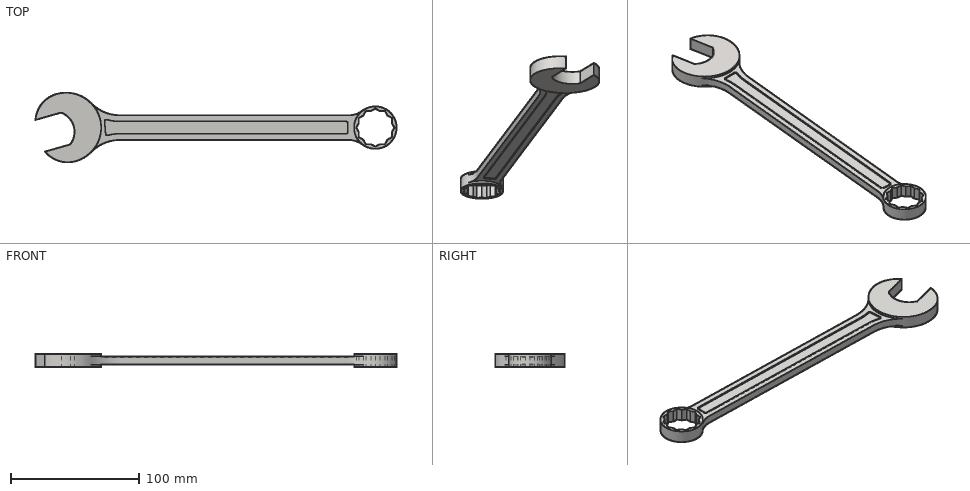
import cadquery as cq
import math

overall_length = 281.5
nut_width = 25.5
head_thickness = 10.0
ring_radius = 16.5

jaw_radius = 27.3
flank_offset = 4.5
jaw_angle = 16.0
slot_shift = -0.5
slot_wall_end = -0.5
slot_floor = 6.0

handle_thickness = 6.5
handle_width = 19.5
jaw_blend_radius = 31.0
ring_blend_radius = 18.3

pocket_width = 9.5
pocket_depth = 0.8
pocket_ring_x = -21.5
pocket_jaw_x = -210.5
pocket_end_slant = 0.5
pocket_corner_radius = 1.5

handle_half_width = handle_width / 2
pocket_margin = (handle_width - pocket_width) / 2


def centred_plate(outline, thickness):
    """Extrude a closed outline evenly to both sides of the mid-plane."""
    return outline.extrude(thickness / 2, both=True)


def blend_centre_offset(head_radius, blend_radius):
    """X distance from a round head to the arc touching both it and the handle edge."""
    return math.sqrt((head_radius + blend_radius) ** 2 - (handle_half_width + blend_radius) ** 2)


flank_radius = jaw_radius - flank_offset
tip_y = slot_shift + nut_width / 2
tip_x = -math.sqrt(flank_radius ** 2 - (tip_y - flank_offset) ** 2)
tilt = math.radians(jaw_angle)
tip_reach = tip_y * math.sin(tilt) - tip_x * math.cos(tilt)
jaw_x = ring_radius + tip_reach - overall_length

blend_y = handle_half_width + jaw_blend_radius
jaw_blend_x = jaw_x + blend_centre_offset(jaw_radius, jaw_blend_radius)
ring_blend_x = -blend_centre_offset(ring_radius, ring_blend_radius)


def make_handle():
    """Bar between the head centres, flaring tangentially into both heads."""
    jaw_ratio = jaw_radius / (jaw_radius + jaw_blend_radius)
    ring_ratio = ring_radius / (ring_radius + ring_blend_radius)
    jaw_contact = (jaw_x + (jaw_blend_x - jaw_x) * jaw_ratio, blend_y * jaw_ratio)
    ring_contact = (ring_blend_x * ring_ratio, (handle_half_width + ring_blend_radius) * ring_ratio)
    half_outline = (
        cq.Workplane("XY")
        .moveTo(jaw_x, 0)
        .lineTo(*jaw_contact)
        .radiusArc((jaw_blend_x, handle_half_width), -jaw_blend_radius)
        .lineTo(ring_blend_x, handle_half_width)
        .radiusArc(ring_contact, -ring_blend_radius)
        .lineTo(0, 0)
        .close()
    )
    half = centred_plate(half_outline, handle_thickness)
    return half.union(half.mirror("XZ"))


def make_pocket():
    """Recess volume whose long sides run parallel to the handle edge."""
    half_width = pocket_width / 2
    flare_radius = jaw_blend_radius + pocket_margin

    def flared_y(x):
        return blend_y - math.sqrt(flare_radius ** 2 - (x - jaw_blend_x) ** 2)

    def is_end_corner(edge):
        return abs(edge.Center().x - jaw_blend_x) > pocket_corner_radius

    upper_x = pocket_jaw_x - pocket_end_slant
    lower_x = pocket_jaw_x + pocket_end_slant
    return (
        cq.Workplane("XY")
        .workplane(offset=handle_thickness / 2 - pocket_depth)
        .moveTo(upper_x, flared_y(upper_x))
        .radiusArc((jaw_blend_x, half_width), -flare_radius)
        .lineTo(pocket_ring_x, half_width)
        .lineTo(pocket_ring_x, -half_width)
        .lineTo(jaw_blend_x, -half_width)
        .radiusArc((lower_x, -flared_y(lower_x)), -flare_radius)
        .close()
        .extrude(pocket_depth)
        .edges("|Z")
        .filter(is_end_corner)
        .fillet(pocket_corner_radius)
    )


def make_jaw_blank():
    """Jaw disc with its -X half narrowed by two tighter arcs, opening towards -X."""
    diagonal = flank_radius * math.sqrt(0.5)
    outline = (
        cq.Workplane("XY")
        .moveTo(0, -jaw_radius)
        .threePointArc((jaw_radius, 0), (0, jaw_radius))
        .threePointArc((-diagonal, flank_offset + diagonal), (-flank_radius, flank_offset))
        .lineTo(-flank_radius, -flank_offset)
        .threePointArc((-diagonal, -flank_offset - diagonal), (0, -jaw_radius))
        .close()
    )
    return centred_plate(outline, head_thickness)


def make_jaw_slot():
    """Parallel-walled opening with an arched floor, running out through -X."""
    lower_y = slot_shift - nut_width / 2
    outline = (
        cq.Workplane("XY")
        .moveTo(-2 * jaw_radius, lower_y)
        .lineTo(slot_wall_end, lower_y)
        .threePointArc((slot_floor, slot_shift), (slot_wall_end, tip_y))
        .lineTo(-2 * jaw_radius, tip_y)
        .close()
    )
    return centred_plate(outline, head_thickness)


def place_at_jaw(body):
    """Tilt a body built about the origin and move it to the jaw centre."""
    return body.rotate((0, 0, 0), (0, 0, 1), jaw_angle).translate((jaw_x, 0, 0))


def make_ring_bore():
    """Twelve-point bore: two hexagons turned 30 degrees apart."""
    across_corners = nut_width / math.cos(math.pi / 6)
    hexagon = centred_plate(cq.Workplane("XY").polygon(6, across_corners), head_thickness)
    return hexagon.union(hexagon.rotate((0, 0, 0), (0, 0, 1), 30))


pocket = make_pocket()
handle = make_handle().cut(pocket).cut(pocket.mirror("XY"))
ring = centred_plate(cq.Workplane("XY").circle(ring_radius), head_thickness)

result = (
    handle
    .union(place_at_jaw(make_jaw_blank()))
    .union(ring)
    .cut(place_at_jaw(make_jaw_slot()))
    .cut(make_ring_bore())
)